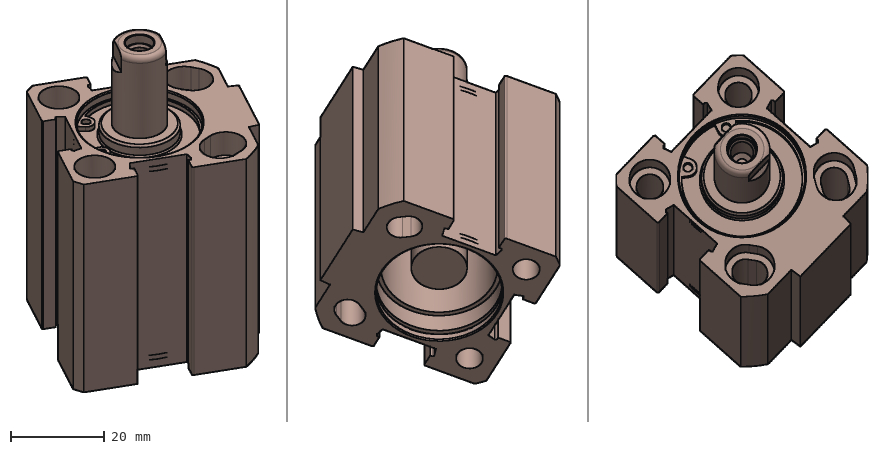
import cadquery as cq
import math

TOTAL_HEIGHT = 74.0
WIDTH = 40.0
DEPTH = 44.5
HALF_WIDTH = WIDTH / 2
HOUSING_HEIGHT = 53.5
SHOULDER_Y = 22.05
CORNER_DIAMETER = 54.0

PAD_TOP_Y = DEPTH - HALF_WIDTH
PAD_TOP_WIDTH = 16.0
PAD_BASE_WIDTH = 16.4

SIDE_SLOT_FLOOR = 14.7
FRONT_SLOT_FLOOR = 14.8
SLOT_LIP = 16.95
SLOT_MOUTH_WIDTH = 12.05
SLOT_FLOOR_WIDTH = 12.7
SLOT_WIDEST = 13.7
SLOT_CORNER_RADIUS = 0.4
SIDE_SLOT_EDGE_RADIUS = 0.4
FRONT_SLOT_EDGE_CHAMFER = 0.2

BOLT_OFFSET = 14.0
BOLT_DIAMETER = 5.8
BOLT_HEAD_DIAMETER = 8.8
BOLT_HEAD_DEPTH = 6.0
BACK_SLOT_SHIFT_X = 1.0
BACK_SLOT_SHIFT_Y = 1.55

BORE_DIAMETER = 25.0
SEAT_DIAMETER = 27.0
SEAT_DEPTH = 8.0
SEAT_CHAMFER = 0.3
GROOVE_DIAMETER = 29.2
GROOVE_DEPTH = 1.9
RING_THICKNESS = 1.2

RING_OUTER_DIAMETER = 28.4
RING_INNER_DIAMETER = 25.9
EAR_HOLE_DIAMETER = 2.0
EAR_RADIUS = 1.9
EAR_X = 6.1
EAR_Y = -10.2
EAR_FOOT_ANGLE = 41.3

BOSS_DIAMETER = 17.5
BOSS_TOP_DEPTH = 0.2
BOSS_CHAMFER = 0.5
BOSS_FOOT_CHAMFER = 0.4

ROD_DIAMETER = 12.0
ROD_END_RADIUS = 1.3
FLAT_WIDTH = 10.0
FLAT_LENGTH = 4.6

ROD_HOLE_DIAMETER = 6.2
ROD_HOLE_CHAMFER = 0.15
ROD_HOLE_DEPTH = 2.2
SINK_DIAMETER = 5.8
SINK_DEPTH = 2.9
DRILL_DIAMETER = 4.9
DRILL_DEPTH = 11.1
DRILL_TIP_DIAMETER = 2.5
DRILL_TIP_DEPTH = 11.85

RING_TOP_Z = HOUSING_HEIGHT - GROOVE_DEPTH
RING_BOTTOM_Z = RING_TOP_Z - RING_THICKNESS
SEAT_Z = HOUSING_HEIGHT - SEAT_DEPTH
COS_45 = math.sqrt(0.5)


def cylinder(diameter, bottom_z, height):
    return cq.Workplane("XY", origin=(0, 0, bottom_z)).circle(diameter / 2).extrude(height)


def housing_blank():
    block_depth = SHOULDER_Y + HALF_WIDTH
    block = cq.Workplane("XY").box(WIDTH, block_depth, HOUSING_HEIGHT, centered=(True, False, False))
    block = block.translate((0, -HALF_WIDTH, 0))
    block = block.intersect(cylinder(CORNER_DIAMETER, 0, HOUSING_HEIGHT))
    pad = (
        cq.Workplane("XY")
        .polyline([
            (-PAD_BASE_WIDTH / 2, 0),
            (PAD_BASE_WIDTH / 2, 0),
            (PAD_BASE_WIDTH / 2, SHOULDER_Y),
            (PAD_TOP_WIDTH / 2, PAD_TOP_Y),
            (-PAD_TOP_WIDTH / 2, PAD_TOP_Y),
            (-PAD_BASE_WIDTH / 2, SHOULDER_Y),
        ])
        .close()
        .extrude(HOUSING_HEIGHT)
    )
    return block.union(pad)


def slot_cutter(floor, broken_edge):
    """The undercut slot of the +X side; broken_edge cuts away its outer edge at +Y."""
    half_widest = SLOT_WIDEST / 2
    corner_x = SLOT_LIP - SLOT_CORNER_RADIUS
    corner_y = half_widest - SLOT_CORNER_RADIUS
    corner_reach = SLOT_CORNER_RADIUS * COS_45
    half_slot = (
        cq.Workplane("XY")
        .moveTo(floor, 0)
        .lineTo(floor, SLOT_FLOOR_WIDTH / 2)
        .lineTo(corner_x, half_widest)
        .threePointArc((corner_x + corner_reach, corner_y + corner_reach), (SLOT_LIP, corner_y))
        .lineTo(SLOT_LIP, SLOT_MOUTH_WIDTH / 2)
        .lineTo(HALF_WIDTH, SLOT_MOUTH_WIDTH / 2)
        .lineTo(HALF_WIDTH, 0)
        .close()
        .extrude(HOUSING_HEIGHT)
        .union(broken_edge)
    )
    return half_slot.union(half_slot.mirror("XZ"))


def edge_chamfer(size):
    edge_y = SLOT_MOUTH_WIDTH / 2
    corners = [(HALF_WIDTH - size, edge_y), (HALF_WIDTH, edge_y + size), (HALF_WIDTH, edge_y)]
    return cq.Workplane("XY").polyline(corners).close().extrude(HOUSING_HEIGHT)


def edge_round(radius):
    edge_y = SLOT_MOUTH_WIDTH / 2
    arc_inset = radius * (1 - COS_45)
    return (
        cq.Workplane("XY")
        .moveTo(HALF_WIDTH - radius, edge_y)
        .threePointArc((HALF_WIDTH - arc_inset, edge_y + arc_inset), (HALF_WIDTH, edge_y + radius))
        .lineTo(HALF_WIDTH, edge_y)
        .close()
        .extrude(HOUSING_HEIGHT)
    )


def bolt_hole(x, y):
    through = cylinder(BOLT_DIAMETER, 0, HOUSING_HEIGHT)
    head = cylinder(BOLT_HEAD_DIAMETER, HOUSING_HEIGHT - BOLT_HEAD_DEPTH, BOLT_HEAD_DEPTH)
    return through.union(head).translate((x, y, 0))


def slotted_bolt_hole(side):
    """A back mounting hole, stretched towards the middle and the back; side is -1 or 1."""
    shift_length = math.hypot(BACK_SLOT_SHIFT_X, BACK_SLOT_SHIFT_Y)
    shift_angle = math.degrees(math.atan2(BACK_SLOT_SHIFT_Y, -side * BACK_SLOT_SHIFT_X))
    middle = (side * (BOLT_OFFSET - BACK_SLOT_SHIFT_X / 2), BOLT_OFFSET + BACK_SLOT_SHIFT_Y / 2)

    def slot(diameter, bottom_z):
        plane = cq.Workplane("XY", origin=(*middle, bottom_z))
        outline = plane.slot2D(shift_length + diameter, diameter, shift_angle)
        return outline.extrude(HOUSING_HEIGHT - bottom_z)

    return slot(BOLT_DIAMETER, 0).union(slot(BOLT_HEAD_DIAMETER, HOUSING_HEIGHT - BOLT_HEAD_DEPTH))


def bore_end():
    """Cover seat, mouth chamfer and ring groove at the upper end."""
    mouth_radius = SEAT_DIAMETER / 2 + SEAT_CHAMFER
    seat = cylinder(SEAT_DIAMETER, SEAT_Z, SEAT_DEPTH)
    groove = cylinder(GROOVE_DIAMETER, RING_BOTTOM_Z, RING_THICKNESS)
    mouth = cq.Workplane(cq.Solid.makeCone(
        SEAT_DIAMETER / 2, mouth_radius, SEAT_CHAMFER,
        cq.Vector(0, 0, HOUSING_HEIGHT - SEAT_CHAMFER),
    ))
    return seat.union(groove).union(mouth)


def make_housing():
    body = housing_blank()
    side_slot = slot_cutter(SIDE_SLOT_FLOOR, edge_round(SIDE_SLOT_EDGE_RADIUS))
    front_slot = slot_cutter(FRONT_SLOT_FLOOR, edge_chamfer(FRONT_SLOT_EDGE_CHAMFER))
    front_slot = front_slot.rotate((0, 0, 0), (0, 0, 1), -90)
    body = body.cut(side_slot).cut(side_slot.mirror("YZ")).cut(front_slot)
    for side in (-1, 1):
        body = body.cut(bolt_hole(side * BOLT_OFFSET, -BOLT_OFFSET))
        body = body.cut(slotted_bolt_hole(side))
    upper_end = bore_end()
    lower_end = upper_end.mirror("XY", (0, 0, HOUSING_HEIGHT / 2))
    body = body.cut(cylinder(BORE_DIAMETER, 0, HOUSING_HEIGHT))
    return body.cut(upper_end).cut(lower_end)


def polar(radius, angle):
    """A point at this radius and at this angle in radians, counted from -Y towards +X."""
    return (radius * math.sin(angle), -radius * math.cos(angle))


EAR_DISTANCE = math.hypot(EAR_X, EAR_Y)
EAR_END_ANGLE = math.atan2(EAR_X, -EAR_Y) - math.asin(EAR_RADIUS / EAR_DISTANCE)


def ear():
    """The ear on the +X side: round about its hole, with two tangent flanks running to the ring."""
    band_radius = (RING_INNER_DIAMETER + SEAT_DIAMETER) / 4
    foot_angle = math.radians(EAR_FOOT_ANGLE)
    middle_angle = (foot_angle + EAR_END_ANGLE) / 2
    foot = polar(RING_INNER_DIAMETER / 2, foot_angle)
    foot_distance = math.hypot(foot[0] - EAR_X, foot[1] - EAR_Y)
    tangent_angle = math.atan2(foot[1] - EAR_Y, foot[0] - EAR_X) + math.acos(EAR_RADIUS / foot_distance)
    inner_tangent = (
        EAR_X + EAR_RADIUS * math.cos(tangent_angle),
        EAR_Y + EAR_RADIUS * math.sin(tangent_angle),
    )
    end_tangent = polar(math.sqrt(EAR_DISTANCE**2 - EAR_RADIUS**2), EAR_END_ANGLE)
    web = (
        cq.Workplane("XY", origin=(0, 0, RING_BOTTOM_Z))
        .moveTo(EAR_X, EAR_Y)
        .lineTo(*inner_tangent)
        .lineTo(*foot)
        .lineTo(*polar(band_radius, foot_angle))
        .threePointArc(polar(band_radius, middle_angle), polar(band_radius, EAR_END_ANGLE))
        .lineTo(*end_tangent)
        .close()
        .extrude(RING_THICKNESS)
    )
    head = cylinder(2 * EAR_RADIUS, RING_BOTTOM_Z, RING_THICKNESS).translate((EAR_X, EAR_Y, 0))
    hole = cylinder(EAR_HOLE_DIAMETER, RING_BOTTOM_Z, RING_THICKNESS).translate((EAR_X, EAR_Y, 0))
    limit = cylinder(SEAT_DIAMETER, RING_BOTTOM_Z, RING_THICKNESS)
    return web.union(head).intersect(limit).cut(hole)


def make_retaining_ring():
    band = cylinder(RING_OUTER_DIAMETER, RING_BOTTOM_Z, RING_THICKNESS)
    band = band.cut(cylinder(RING_INNER_DIAMETER, RING_BOTTOM_Z, RING_THICKNESS))
    gap = (
        cq.Workplane("XY", origin=(0, 0, RING_BOTTOM_Z))
        .polyline([
            (0, 0),
            polar(RING_OUTER_DIAMETER, EAR_END_ANGLE),
            polar(RING_OUTER_DIAMETER, -EAR_END_ANGLE),
        ])
        .close()
        .extrude(RING_THICKNESS)
    )
    right_ear = ear()
    return band.cut(gap).union(right_ear).union(right_ear.mirror("YZ"))


def make_cover():
    """A disc between the seat and the retaining ring, bored for the rod."""
    boss_radius = BOSS_DIAMETER / 2
    boss_top_z = HOUSING_HEIGHT - BOSS_TOP_DEPTH
    half_section = [
        (ROD_DIAMETER / 2, SEAT_Z),
        (SEAT_DIAMETER / 2, SEAT_Z),
        (SEAT_DIAMETER / 2, RING_BOTTOM_Z),
        (boss_radius + BOSS_FOOT_CHAMFER, RING_BOTTOM_Z),
        (boss_radius, RING_BOTTOM_Z + BOSS_FOOT_CHAMFER),
        (boss_radius, boss_top_z - BOSS_CHAMFER),
        (boss_radius - BOSS_CHAMFER, boss_top_z),
        (ROD_DIAMETER / 2, boss_top_z),
    ]
    return cq.Workplane("XZ").polyline(half_section).close().revolve(360, (0, 0), (0, 1))


def wrench_flat():
    """Cutter for the flat of the +Y side, with a 45 degree run-out below it."""
    flat_y = FLAT_WIDTH / 2
    outer_y = ROD_DIAMETER
    flat_z = TOTAL_HEIGHT - FLAT_LENGTH
    profile = [
        (flat_y, TOTAL_HEIGHT),
        (flat_y, flat_z),
        (outer_y, flat_z - (outer_y - flat_y)),
        (outer_y, TOTAL_HEIGHT),
    ]
    return cq.Workplane("YZ").polyline(profile).close().extrude(ROD_DIAMETER / 2, both=True)


def rod_hole():
    hole_radius = ROD_HOLE_DIAMETER / 2
    radius_and_depth = [
        (0, 0),
        (hole_radius + ROD_HOLE_CHAMFER, 0),
        (hole_radius, ROD_HOLE_CHAMFER),
        (hole_radius, ROD_HOLE_DEPTH),
        (SINK_DIAMETER / 2, ROD_HOLE_DEPTH),
        (DRILL_DIAMETER / 2, SINK_DEPTH),
        (DRILL_DIAMETER / 2, DRILL_DEPTH),
        (DRILL_TIP_DIAMETER / 2, DRILL_TIP_DEPTH),
        (0, DRILL_TIP_DEPTH),
    ]
    half_section = [(radius, TOTAL_HEIGHT - depth) for radius, depth in radius_and_depth]
    return cq.Workplane("XZ").polyline(half_section).close().revolve(360, (0, 0), (0, 1))


def make_rod():
    """The rod runs down to the lower seat of the bore."""
    rod = cylinder(ROD_DIAMETER, SEAT_DEPTH, TOTAL_HEIGHT - SEAT_DEPTH)
    rod = rod.faces(">Z").edges().fillet(ROD_END_RADIUS)
    flat = wrench_flat()
    return rod.cut(flat).cut(flat.mirror("XZ")).cut(rod_hole())


housing = make_housing()
retaining_ring = make_retaining_ring()
cover = make_cover()
rod = make_rod()

result = cq.Compound.makeCompound([housing.val(), retaining_ring.val(), cover.val(), rod.val()])